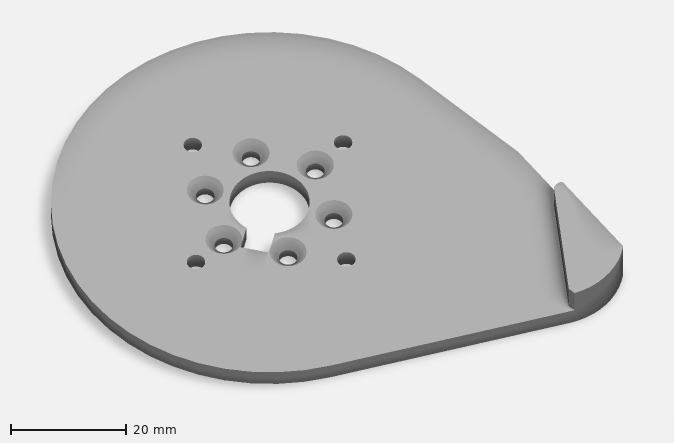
import cadquery as cq
import math

disc_radius = 38.0
plate_thickness = 3.2
overall_height = 7.9
nose_reach = 56.3
nose_radius = 13.0
flank_angle = math.radians(-30)
top_flat_end = 23.5
upper_slope = math.radians(10)

pad_heel = (53.6, 19.2)
pad_toe_start = (36.2, 33.7)
pad_toe_middle = (35.8, 34.6)
pad_toe_end_x = 36.3

bore_radius = 7.0
keyway_width = 5.1
keyway_reach = 10.9
keyway_angle = -60
hole_diameter = 3.2
plain_hole_circle = 18.5
plain_hole_count = 4
screw_circle = 11.5
screw_count = 6
screw_start_angle = 90
countersink_diameter = 6.4
countersink_angle = 90

nose_x = nose_reach - nose_radius
nose_y = (nose_x * math.cos(flank_angle) + nose_radius - disc_radius) / -math.sin(flank_angle)


def polar(radius, angle, center=(0, 0)):
    """Point at a radius and angle (radians) from a centre."""
    return (center[0] + radius * math.cos(angle), center[1] + radius * math.sin(angle))


def nose_point(angle):
    return polar(nose_radius, angle, (nose_x, nose_y))


def upper_edge_y(x):
    return disc_radius - (x - top_flat_end) * math.tan(upper_slope)


edge_normal = math.pi / 2 - upper_slope
edge_distance = (upper_edge_y(nose_x) - nose_y) * math.cos(upper_slope)
nose_top_angle = edge_normal - math.acos(edge_distance / nose_radius)


def make_plate():
    return (
        cq.Workplane("XY")
        .moveTo(0, disc_radius)
        .lineTo(top_flat_end, disc_radius)
        .lineTo(*nose_point(nose_top_angle))
        .threePointArc(nose_point(0), nose_point(flank_angle))
        .lineTo(*polar(disc_radius, flank_angle))
        .threePointArc((-disc_radius, 0), (0, disc_radius))
        .close()
        .extrude(plate_thickness)
    )


def make_pad():
    heel_angle = math.asin((pad_heel[1] - nose_y) / nose_radius)
    return (
        cq.Workplane("XY")
        .moveTo(*pad_heel)
        .lineTo(*nose_point(heel_angle))
        .threePointArc(nose_point(0), nose_point(nose_top_angle))
        .lineTo(pad_toe_end_x, upper_edge_y(pad_toe_end_x))
        .threePointArc(pad_toe_middle, pad_toe_start)
        .close()
        .extrude(overall_height)
    )


def cut_openings(body):
    keyway = (
        cq.Workplane("XY")
        .rect(keyway_reach, keyway_width)
        .extrude(plate_thickness)
        .translate((keyway_reach / 2, 0, 0))
        .rotate((0, 0, 0), (0, 0, 1), keyway_angle)
    )
    bore = cq.Workplane("XY").circle(bore_radius).extrude(plate_thickness)
    plate_top = cq.Workplane("XY", origin=(0, 0, plate_thickness))
    plain_holes = (
        plate_top.polarArray(plain_hole_circle, 0, 360, plain_hole_count)
        .circle(hole_diameter / 2)
        .extrude(-plate_thickness)
    )
    body = body.cut(bore).cut(keyway).cut(plain_holes)
    return (
        body.copyWorkplane(plate_top)
        .polarArray(screw_circle, screw_start_angle, 360, screw_count)
        .cskHole(hole_diameter, countersink_diameter, countersink_angle)
    )


result = cut_openings(make_plate().union(make_pad()))